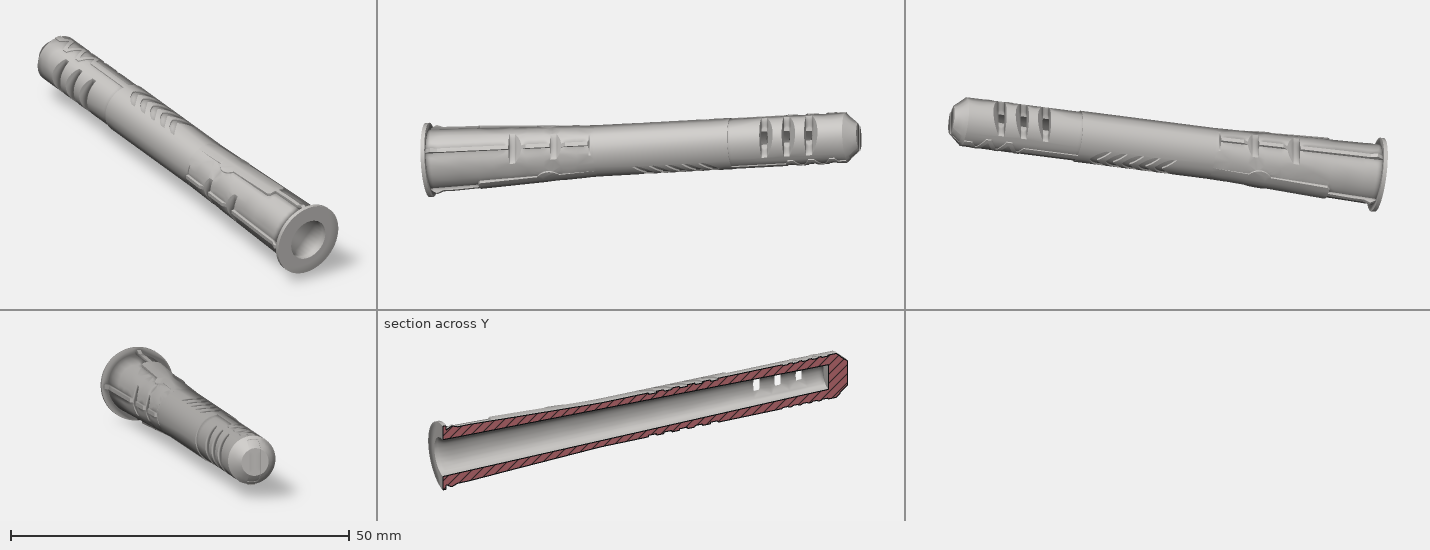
import cadquery as cq


length = 65.0
tip_length = 1.8
tip_radius = 2.1
nose_end = 19.1
nose_radius = 3.65
shank_end = 39.4
shank_radius = 7.6 / 2
collar_thickness = 0.6
collar_start = length - collar_thickness
collar_radius = 11.0 / 2
sleeve_end_radius = 4.5

bore_start = 3.25
bore_start_radius = 2.1
bore_end_radius = 3.1

band_width = 1.75
band_length = 1.35
band_depth = 0.1

nose_notch_start = 5.5
nose_notch_pitch = 3.4
nose_notch_count = 3
nose_notch_ramp = 1.2
nose_notch_floor_length = 0.85
nose_notch_floor = 2.0

seam_half_width = 0.49
seam_crest_start = 3.85
seam_crest_pitch = 1.55
seam_crest_count = 5
seam_outer_height = 1.3
seam_inner_height = 0.65
seam_outer_half_flat = 0.42
seam_inner_half_flat = 0.1
seam_bend = 0.8
seam_embed = 0.1

chevron_start = 20.9
chevron_pitch = 2.5
chevron_count = 5
chevron_half_height = 1.9
chevron_thickness = 1.2
chevron_sweep = 2.2
chevron_tip_width = 0.8
chevron_bulge_x = 1.05
chevron_bulge_y = 1.3
chevron_depth = 0.25

pad_end = 57.15
pad_width = 2.9
pad_corner = 0.3
pad_disc_x = 46.55
pad_disc_radius = 2.2

rib_width = 0.6
rib_top_x = 60.85
rib_top_radius = 4.9
side_rib_start = 40.05
side_rib_start_radius = 4.2
tooth_start = 62.6
tooth_peak_x = 63.6
tooth_peak_radius = 5.25
tooth_end_radius = 4.75

side_cut_floor = 3.45
side_slit_width = 0.25
sleeve_notch_starts = (43.6, 49.85)
sleeve_notch_ramp = 1.3
sleeve_notch_floor_length = 0.85

reach = 6.5


def revolve_profile(points):
    return cq.Workplane("XY").polyline(points).close().revolve(360, (0, 0, 0), (1, 0, 0))


def box_between(x0, x1, y0, y1, z0, z1):
    return cq.Workplane("XY").box(x1 - x0, y1 - y0, z1 - z0, centered=False).translate((x0, y0, z0))


def both_sides(solid, plane):
    return solid.union(solid.mirror(plane))


def make_body():
    return revolve_profile([
        (0, 0),
        (0, tip_radius),
        (tip_length, nose_radius),
        (nose_end, nose_radius),
        (nose_end, shank_radius),
        (shank_end, shank_radius),
        (collar_start, sleeve_end_radius),
        (collar_start, collar_radius),
        (length, collar_radius),
        (length, 0),
    ])


def make_bore():
    return revolve_profile([
        (bore_start, 0),
        (bore_start, bore_start_radius),
        (length, bore_end_radius),
        (length, 0),
    ])


def make_tip_band():
    """Slice between the tip and the same cone set back by the band depth."""
    slope = (nose_radius - tip_radius) / tip_length
    end_radius = tip_radius + slope * (band_length - band_depth)
    skin = revolve_profile([
        (0, 0),
        (band_depth, 0),
        (band_depth, tip_radius),
        (band_length, end_radius),
        (band_length, reach),
        (0, reach),
    ])
    half = band_width / 2
    return skin.intersect(box_between(0, band_length, -half, half, -reach, reach))


def make_notch(start, surface, ramp, floor, floor_length):
    """Pair of notches at +Y and -Y: sloping entry, flat floor, square far wall."""
    floor_start = start + ramp
    floor_end = floor_start + floor_length
    ramp_at_reach = floor_start - ramp * (reach - floor) / (surface - floor)
    notch = cq.Workplane("XY").polyline([
        (ramp_at_reach, reach),
        (floor_start, floor),
        (floor_end, floor),
        (floor_end, reach),
    ]).close().extrude(reach, both=True)
    return both_sides(notch, "XZ")


def make_seam():
    """Zigzag strip on the top and bottom of the nose."""
    first = seam_crest_start
    last = first + seam_crest_pitch * (seam_crest_count - 1)
    upper = [(tip_length, seam_half_width), (first - seam_bend, seam_half_width)]
    lower = [(tip_length, -seam_half_width), (first - seam_bend, -seam_half_width)]
    for i in range(seam_crest_count):
        crest = first + i * seam_crest_pitch
        outer = (crest - seam_outer_half_flat, crest + seam_outer_half_flat)
        inner = (crest - seam_inner_half_flat, crest + seam_inner_half_flat)
        if i % 2 == 0:
            upper += [(x, seam_outer_height) for x in outer]
            lower += [(x, seam_inner_height) for x in inner]
        else:
            upper += [(x, -seam_inner_height) for x in inner]
            lower += [(x, -seam_outer_height) for x in outer]
    upper += [(last + seam_bend, seam_half_width), (nose_end, seam_half_width)]
    lower += [(last + seam_bend, -seam_half_width), (nose_end, -seam_half_width)]
    strip = cq.Workplane("XY").polyline(upper + lower[::-1]).close().extrude(reach)
    root_radius = nose_radius - seam_embed
    shell = cq.Workplane("YZ").circle(shank_radius).circle(root_radius).extrude(nose_end)
    return both_sides(strip.intersect(shell), "XY")


def make_chevrons():
    """Row of arrow marks pointing at the tip, on the top and bottom of the shank."""
    floor_radius = shank_radius - chevron_depth
    shell = cq.Workplane("YZ").circle(reach).circle(floor_radius).extrude(length)
    marks = cq.Workplane("XY")
    for i in range(chevron_count):
        x = chevron_start + i * chevron_pitch
        wing = x + chevron_sweep
        tip = wing + chevron_tip_width
        bulge = x + chevron_bulge_x
        h = chevron_half_height
        mark = (
            cq.Workplane("XY")
            .moveTo(x, 0)
            .threePointArc((bulge, chevron_bulge_y), (wing, h))
            .lineTo(tip, h)
            .lineTo(x + chevron_thickness, 0)
            .lineTo(tip, -h)
            .lineTo(wing, -h)
            .threePointArc((bulge, -chevron_bulge_y), (x, 0))
            .close()
            .extrude(reach)
        )
        marks = marks.add(mark)
    return both_sides(marks.combine().intersect(shell), "XY")


def make_rib_solid(start, start_radius):
    """Round solid whose outline is the crest of a rib from start to the collar."""
    return revolve_profile([
        (start, 0),
        (start, start_radius),
        (rib_top_x, rib_top_radius),
        (tooth_start, rib_top_radius),
        (tooth_peak_x, tooth_peak_radius),
        (collar_start, tooth_end_radius),
        (collar_start, 0),
    ])


def make_pads_and_ribs():
    """Pads on top and bottom, each with a rib running on to the collar."""
    pad_length = pad_end - shank_end
    pad = (
        cq.Workplane("XY")
        .rect(pad_length, pad_width)
        .extrude(reach, both=True)
        .translate((shank_end + pad_length / 2, 0, 0))
        .edges("|Z and >X")
        .chamfer(pad_corner)
    )
    disc = cq.Workplane("XY").center(pad_disc_x, 0).circle(pad_disc_radius).extrude(reach, both=True)
    half = rib_width / 2
    rib = box_between(shank_end, collar_start, -half, half, -reach, reach)
    return make_rib_solid(shank_end, shank_radius).intersect(pad.union(disc).union(rib))


def make_side_ribs():
    """Ribs along the +Y and -Y sides of the sleeve."""
    half = rib_width / 2
    strip = box_between(side_rib_start, collar_start, -reach, reach, -half, half)
    return make_rib_solid(side_rib_start, side_rib_start_radius).intersect(strip)


def make_side_slits():
    """Narrow flat-bottomed cuts just ahead of the side ribs."""
    start = side_rib_start - side_slit_width
    slit = box_between(start, side_rib_start, side_cut_floor, reach, -reach, reach)
    return both_sides(slit, "XZ")


body = make_body().union(make_seam()).union(make_pads_and_ribs()).union(make_side_ribs())
body = body.cut(make_tip_band()).cut(make_chevrons()).cut(make_side_slits())
for i in range(nose_notch_count):
    start = nose_notch_start + i * nose_notch_pitch
    body = body.cut(
        make_notch(start, nose_radius, nose_notch_ramp, nose_notch_floor, nose_notch_floor_length)
    )
for start in sleeve_notch_starts:
    body = body.cut(
        make_notch(start, side_rib_start_radius, sleeve_notch_ramp, side_cut_floor, sleeve_notch_floor_length)
    )
result = body.cut(make_bore())